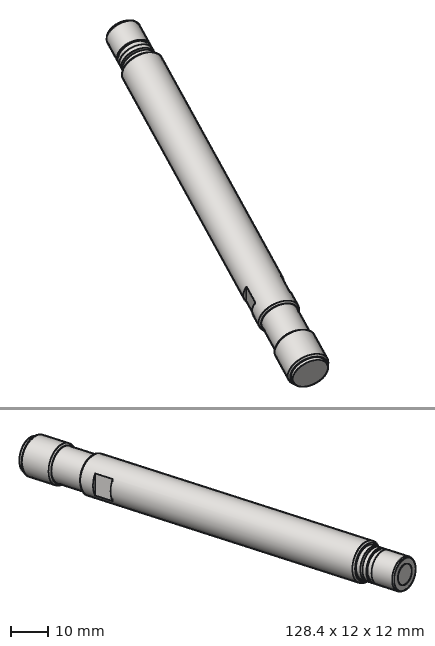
import cadquery as cq

total_length = 128.4
body_diameter = 12.0
edge_chamfer = 0.5

spigot_diameter = 9.9
spigot_chamfer_length = 0.5
spigot_chamfer_height = 0.3
ring_groove_start = 7.6
ring_groove_width = 1.8
ring_groove_diameter = 7.2
ring_outer_diameter = 9.9
ring_section_diameter = 2.0
groove_start = 10.7
groove_width = 0.8
groove_diameter = 7.0
body_start = 12.8
end_recess_diameter = 6.0
end_recess_depth = 0.06

body_end = 107.3
neck_diameter = 10.7
head_start = 117.2
tip_start = 127.4
tip_diameter = 10.4

flat_start = 96.4
flat_length = 6.0
across_flats = 10.0


def cylinder(start, end, diameter):
    """Solid cylinder along X between two positions."""
    return cq.Workplane("YZ", origin=(start, 0, 0)).circle(diameter / 2).extrude(end - start)


def groove_cut(start, width, root_diameter):
    """Annular cutter for a square groove around the spigot."""
    blank = cylinder(start, start + width, body_diameter)
    return blank.cut(cylinder(start, start + width, root_diameter))


def make_sealing_ring():
    """Round-section ring, slightly pressed into the walls of its groove."""
    center_x = ring_groove_start + ring_groove_width / 2
    section_radius = ring_section_diameter / 2
    center_z = ring_outer_diameter / 2 - section_radius
    section = cq.Workplane("XZ", origin=(center_x, 0, center_z)).circle(section_radius)
    return section.revolve(360, (0, -center_z), (1, -center_z))


def make_spigot():
    shaft = cylinder(0, body_start, spigot_diameter)
    shaft = shaft.faces("<X").chamfer(spigot_chamfer_length, spigot_chamfer_height)
    shaft = shaft.cut(groove_cut(ring_groove_start, ring_groove_width, ring_groove_diameter))
    shaft = shaft.cut(groove_cut(groove_start, groove_width, groove_diameter))
    shaft = shaft.cut(cylinder(0, end_recess_depth, end_recess_diameter))
    return shaft.union(make_sealing_ring())


def make_body():
    body = cylinder(body_start, body_end, body_diameter).faces("<X or >X").chamfer(edge_chamfer)
    cutter = cq.Workplane("XY").box(flat_length, body_diameter, body_diameter)
    cutter_offset = (across_flats + body_diameter) / 2
    for side in (-1, 1):
        body = body.cut(cutter.translate((flat_start + flat_length / 2, side * cutter_offset, 0)))
    return body


def make_head():
    neck = cylinder(body_end, head_start, neck_diameter)
    head = cylinder(head_start, tip_start, body_diameter).faces("<X or >X").chamfer(edge_chamfer)
    tip = cylinder(tip_start, total_length, tip_diameter)
    return neck.union(head).union(tip)


result = make_spigot().union(make_body()).union(make_head())